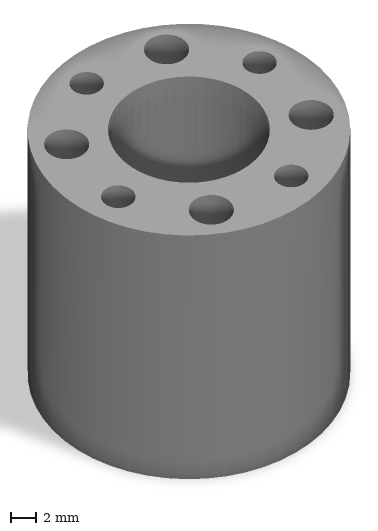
import cadquery as cq

outer_diameter = 25.4
length = 25.4
bore_diameter = 12.73

pitch_diameter = 19.558
holes_per_set = 4
full_turn = 360
small_hole_diameter = 2.71
large_hole_diameter = 3.556
small_set_start_angle = 0
large_set_start_angle = 45


def make_tube():
    """Cylinder standing on Z = 0 with its central bore."""
    return cq.Workplane("XY").circle(outer_diameter / 2).circle(bore_diameter / 2).extrude(length)


def drill_hole_set(body, diameter, start_angle):
    """Drill equally spaced through holes on the pitch circle."""
    return (
        body.faces(">Z")
        .workplane()
        .polarArray(pitch_diameter / 2, start_angle, full_turn, holes_per_set)
        .hole(diameter)
    )


result = make_tube()
result = drill_hole_set(result, small_hole_diameter, small_set_start_angle)
result = drill_hole_set(result, large_hole_diameter, large_set_start_angle)